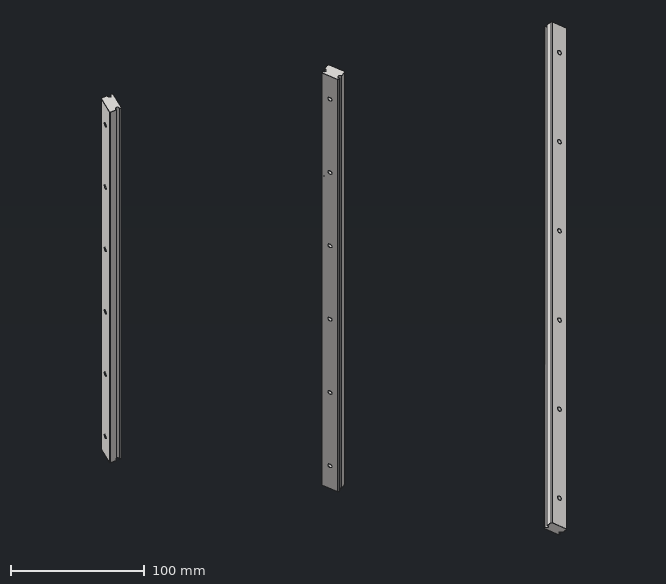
import cadquery as cq

WIDTH = 15.0
HEIGHT = 10.0
LENGTH = 450.0

EDGE_CHAMFER = 0.8

GROOVE_RADIUS = 1.5
GROOVE_HALF_WIDTH = 1.25
GROOVE_DEPTH = 2.1
GROOVE_CENTRE_Y = 1.8

HOLE_DIAMETER = 3.5
HOLE_COUNT = 6
HOLE_PITCH = 80.0


def make_body():
    """Rectangular bar along Z, centred on the origin, with its long edges chamfered."""
    bar = cq.Workplane("XY").box(WIDTH, HEIGHT, LENGTH)
    return bar.edges("|Z").chamfer(EDGE_CHAMFER)


def make_groove(side):
    """Cutter for the ball groove on one side; side is -1 for -X and +1 for +X."""
    mouth_x = side * WIDTH / 2
    bottom_x = side * (WIDTH / 2 - GROOVE_DEPTH)
    lower_lip_y = GROOVE_CENTRE_Y - GROOVE_HALF_WIDTH
    upper_lip_y = GROOVE_CENTRE_Y + GROOVE_HALF_WIDTH
    arc_radius = side * GROOVE_RADIUS
    return (
        cq.Workplane("XY")
        .moveTo(mouth_x, lower_lip_y)
        .radiusArc((bottom_x, GROOVE_CENTRE_Y), arc_radius)
        .radiusArc((mouth_x, upper_lip_y), arc_radius)
        .close()
        .extrude(LENGTH / 2, both=True)
    )


def make_holes():
    """Row of through holes along Y, evenly spaced about mid-length."""
    row_length = (HOLE_COUNT - 1) * HOLE_PITCH
    positions = [(0, i * HOLE_PITCH - row_length / 2) for i in range(HOLE_COUNT)]
    return (
        cq.Workplane("XZ")
        .pushPoints(positions)
        .circle(HOLE_DIAMETER / 2)
        .extrude(HEIGHT / 2, both=True)
    )


rail = make_body()
for side in (-1, 1):
    rail = rail.cut(make_groove(side))
result = rail.cut(make_holes())